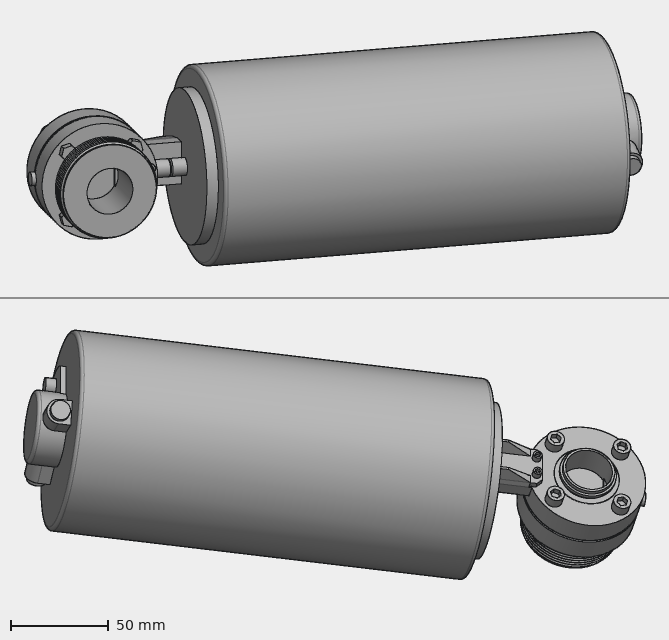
import cadquery as cq
import math


body_diameter = 104.0
body_radius = body_diameter / 2
body_front = 55.5
body_back = 272.8
body_fillet = 2.0
pilot_radius = 40.5
pilot_front = 49.5
shaft_diameter = 9.3
shaft_radius = shaft_diameter / 2
shaft_chamfer = 0.5
shaft_front = 41.2

cap_diameter = 38.3
cap_radius = cap_diameter / 2
cap_back = 288.5
cap_fillet = 2.0
port_width = 13.2
port_fillet = 6.5
port_height = 13.0
port_reach = 30.2
port_droop = 18
gland_radius = 5.0
gland_length = 3.0
pad_width = 28.3
pad_bottom = 12.0
pad_shoulder = 30.2
pad_top = 35.0
pad_thickness = 3.0
post_radius = 4.5
post_z = 26.7
post_length = 5.5

flange_radius = 31.0
flange_thickness = 14.0
joint_chamfer = 0.5
seam_turn = 45
bore_radius = 12.2
bolt_count = 4
bolt_offset = 17.5
bolt_radius = 4.5
bolt_head_length = 5.8
socket_radius = 3.0
socket_depth = 3.2
nut_corner_radius = 4.5
nut_length = 4.5

recess_radius = 17.0
recess_depth = 0.5
collar_radius = 13.5
collar_end = 20.0
bead_radius = 14.8
bead_start = 15.8
bead_end = 17.7

neck_radius = 13.5
neck_end = 16.5
flare_radius = 17.7
thread_start = 20.0
thread_end = 31.5
thread_pitch = 2.0
thread_depth = 1.0
crest_radius = 25.7
rim_end = 32.8

stem_radius = 3.5
stem_tip = -33.0
disc_half_thickness = 4.0
hub_half_thickness = 5.8
hub_start = 10.5

bracket_inner_x = -6.8
bracket_outer_x = -17.5
bracket_half_width = 11.3
lap_end = 23.8
lap_chamfer = 3.0
rib_root_inner_z = 6.0
rib_root_outer_z = 10.5
rib_tip_x = -24.8
rib_tip_inner_z = 8.0
rib_tip_outer_z = 9.3
rib_tip_front = 43.0
rib_root_front = 30.2
screw_y = 27.0
screw_z = 5.0
screw_radius = 2.3
screw_head_length = 3.5
screw_socket_radius = 1.3
screw_socket_depth = 2.0
screw_tip_length = 3.0
screw_tip_fillet = 1.0


def cylinder_y(radius, y_start, y_end, x=0, z=0):
    """Round bar parallel to Y."""
    solid = cq.Solid.makeCylinder(radius, y_end - y_start, cq.Vector(x, y_start, z), cq.Vector(0, 1, 0))
    return cq.Workplane(solid)


def cylinder_x(radius, x_start, x_end, y=0, z=0):
    """Round bar parallel to X."""
    solid = cq.Solid.makeCylinder(radius, x_end - x_start, cq.Vector(x_start, y, z), cq.Vector(1, 0, 0))
    return cq.Workplane(solid)


def box_between(low, high):
    """Box given by two opposite corners."""
    size = [b - a for a, b in zip(low, high)]
    return cq.Workplane("XY").box(*size, centered=False).translate(low)


def revolve_about_x(points):
    """Ring or plug turned about X from (x, radius) points."""
    return cq.Workplane("XY").polyline(points).close().revolve(360, (0, 0, 0), (1, 0, 0))


def make_port_arm():
    """Radial cable port with a rounded back and a round gland on its end, pointing along +X."""
    back = body_back + port_height
    arm = box_between((0, body_back, -port_width / 2), (port_reach, back, port_width / 2))
    arm = arm.edges("|X and >Y").fillet(port_fillet)
    gland = cylinder_x(gland_radius, port_reach, port_reach + gland_length, y=back - port_width / 2)
    return arm.union(gland)


def make_sensor():
    """Pad with an arched top edge, carrying a short round post."""
    half = pad_width / 2
    pad = (
        cq.Workplane("XZ", origin=(0, body_back, 0))
        .moveTo(-half, pad_bottom)
        .lineTo(half, pad_bottom)
        .lineTo(half, pad_shoulder)
        .threePointArc((0, pad_top), (-half, pad_shoulder))
        .close()
        .extrude(-pad_thickness)
    )
    post_start = body_back + pad_thickness
    return pad.union(cylinder_y(post_radius, post_start, post_start + post_length, z=post_z))


def make_actuator():
    body = cylinder_y(body_radius, body_front, body_back).edges().fillet(body_fillet)
    pilot = cylinder_y(pilot_radius, pilot_front, body_front)
    shaft = cylinder_y(shaft_radius, shaft_front, pilot_front).faces("<Y").chamfer(shaft_chamfer)
    cap = cylinder_y(cap_radius, body_back, cap_back).faces(">Y").edges().fillet(cap_fillet)
    actuator = body.union(pilot).union(shaft).union(cap).union(make_sensor())
    arm = make_port_arm().rotate((0, 0, 0), (0, 1, 0), port_droop)
    return actuator.union(arm).union(arm.mirror("YZ"))


def make_stem():
    """Coupling, stem and closed disc, with thicker disc hubs where the stem enters."""
    coupling = cylinder_y(shaft_radius, flange_radius, shaft_front).edges().chamfer(shaft_chamfer)
    rod = cylinder_y(stem_radius, stem_tip, flange_radius)
    disc = cylinder_x(bore_radius, -disc_half_thickness, disc_half_thickness)
    hubs = cylinder_x(bore_radius, -hub_half_thickness, hub_half_thickness)
    hubs = hubs.cut(
        box_between(
            (-hub_half_thickness, -hub_start, -bore_radius),
            (hub_half_thickness, hub_start, bore_radius),
        )
    )
    return coupling.union(rod).union(disc).union(hubs)


def make_flange_blank(side):
    """Half of the valve housing on the given side of X = 0, with a chamfered joint edge."""
    return revolve_about_x(
        [
            (0, 0),
            (0, flange_radius - joint_chamfer),
            (side * joint_chamfer, flange_radius),
            (side * flange_thickness, flange_radius),
            (side * flange_thickness, 0),
        ]
    )


def cut_flow_and_stem(flange):
    """Open the flow bore and the stem hole."""
    stem_hole = cylinder_y(stem_radius, stem_tip, shaft_front)
    stem_hole = stem_hole.rotate((0, 0, 0), (0, 1, 0), seam_turn)
    return flange.cut(stem_hole).cut(cylinder_x(bore_radius, -collar_end, rim_end))


def repeat_at_bolts(shape):
    """Copies of a shape centred on X, moved to the four bolt places and turned with them."""
    moved = shape.translate((0, bolt_offset * math.sqrt(2), 0))
    copies = cq.Workplane("XY")
    for index in range(bolt_count):
        angle = 360 / bolt_count * (index + 0.5)
        copies = copies.add(moved.rotate((0, 0, 0), (1, 0, 0), angle))
    return copies


def make_inlet_flange():
    """Inlet half with its collar and four socket-head bolts."""
    flange = make_flange_blank(-1)
    recess = cylinder_x(recess_radius, -flange_thickness, recess_depth - flange_thickness)
    collar = cylinder_x(collar_radius, -collar_end, recess_depth - flange_thickness)
    bead = cylinder_x(bead_radius, -bead_end, -bead_start)
    flange = flange.cut(recess).union(collar).union(bead)
    head_end = -flange_thickness - bolt_head_length
    head = cylinder_x(bolt_radius, head_end, -flange_thickness)
    socket = (
        cq.Workplane("YZ", origin=(head_end, 0, 0))
        .polygon(6, 2 * socket_radius)
        .extrude(socket_depth)
    )
    for bolt in repeat_at_bolts(head.cut(socket)).vals():
        flange = flange.union(cq.Workplane(bolt))
    return cut_flow_and_stem(flange)


def make_threaded_end():
    """Flared neck, ring-grooved thread and plain end rim."""
    root_radius = crest_radius - thread_depth
    profile = [
        (flange_thickness, 0),
        (flange_thickness, neck_radius),
        (neck_end, neck_radius),
        (thread_start, flare_radius),
        (thread_start, root_radius),
    ]
    for turn in range(round((thread_end - thread_start) / thread_pitch)):
        turn_start = thread_start + turn * thread_pitch
        profile.append((turn_start + thread_pitch / 2, crest_radius))
        profile.append((turn_start + thread_pitch, root_radius))
    profile += [(rim_end, root_radius), (rim_end, 0)]
    return revolve_about_x(profile)


def make_outlet_flange():
    """Outlet half with its thread, four bolt nuts and the two bracket screw tips."""
    flange = make_flange_blank(1).union(make_threaded_end())
    nut = (
        cq.Workplane("YZ", origin=(flange_thickness, 0, 0))
        .polygon(6, 2 * nut_corner_radius)
        .extrude(nut_length)
    )
    for bolt_nut in repeat_at_bolts(nut).vals():
        flange = flange.union(cq.Workplane(bolt_nut))
    tip_end = flange_thickness + screw_tip_length
    for z in (-screw_z, screw_z):
        tip = cylinder_x(screw_radius, flange_thickness, tip_end, screw_y, z)
        flange = flange.union(tip.faces(">X").edges().fillet(screw_tip_fillet))
    return cut_flow_and_stem(flange)


def make_rib():
    """Upper stiffening rib, tapering towards its tip and cut back towards the valve."""
    section = [
        (-flange_thickness, bracket_half_width),
        (bracket_outer_x, rib_root_outer_z),
        (rib_tip_x, rib_tip_outer_z),
        (rib_tip_x, rib_tip_inner_z),
        (bracket_outer_x, rib_root_inner_z),
        (-flange_thickness, rib_root_inner_z),
    ]
    bar = cq.Workplane("XZ", origin=(0, pilot_front, 0)).polyline(section).close()
    bar = bar.extrude(pilot_front - rib_root_front)
    side_outline = [
        (-flange_thickness, pilot_front),
        (rib_tip_x, pilot_front),
        (rib_tip_x, rib_tip_front),
        (bracket_outer_x, rib_root_front),
        (-flange_thickness, rib_root_front),
    ]
    envelope = cq.Workplane("XY").polyline(side_outline).close().extrude(bracket_half_width)
    return bar.intersect(envelope)


def make_bracket():
    """Bracket from the actuator pilot to the inlet face, with ribs and two screw heads."""
    half = bracket_half_width
    block = box_between((-flange_thickness, 0, -half), (bracket_inner_x, pilot_front, half))
    block = block.cut(cylinder_x(flange_radius, -flange_thickness, flange_thickness))
    lap = box_between(
        (bracket_outer_x, lap_end, -rib_root_outer_z),
        (-flange_thickness, pilot_front, rib_root_outer_z),
    )
    lap = lap.edges("|X and <Y").chamfer(lap_chamfer)
    rib = make_rib()
    bracket = block.union(lap).union(rib).union(rib.mirror("XY"))
    head_end = bracket_outer_x - screw_head_length
    for z in (-screw_z, screw_z):
        head = cylinder_x(screw_radius, head_end, bracket_outer_x, screw_y, z)
        socket = cylinder_x(screw_socket_radius, head_end, head_end + screw_socket_depth, screw_y, z)
        bracket = bracket.union(head.cut(socket))
    return bracket


actuator = make_actuator()
stem = make_stem()
inlet_flange = make_inlet_flange()
outlet_flange = make_outlet_flange()
bracket = make_bracket()

bodies = [actuator, stem, inlet_flange, outlet_flange, bracket]
result = cq.Compound.makeCompound([body.solids().val() for body in bodies])